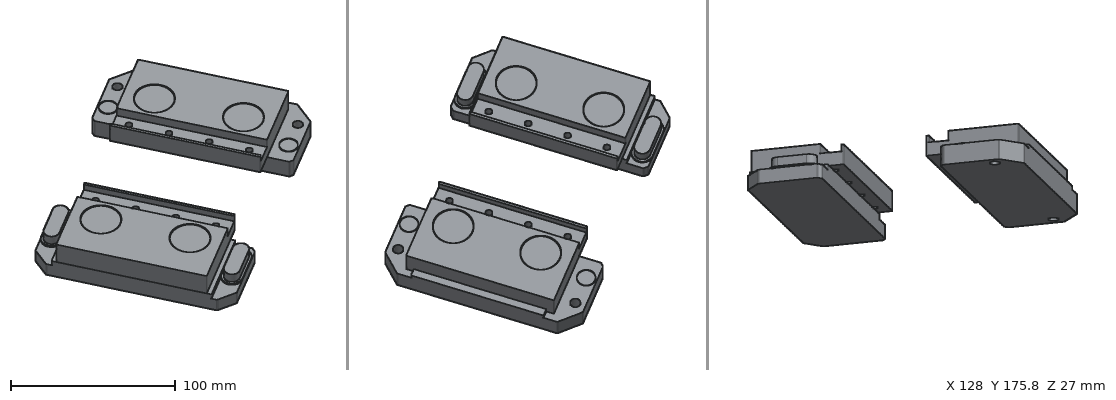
import cadquery as cq

JAW_SPAN = 175.8
FRONT_EDGE = -JAW_SPAN / 2
REAR_EDGE = JAW_SPAN / 2

BASE_LENGTH = 128.0
BASE_WIDTH = 50.0
BASE_HEIGHT = 12.5
FRONT_BASE_Y = FRONT_EDGE + BASE_WIDTH / 2
REAR_BASE_Y = REAR_EDGE - BASE_WIDTH / 2
EAR_X = 57.3
CORNER_ROUNDING = 0.9
EDGE_ROUNDING = 0.44

FRONT_OUTER_CHAMFER = 9.7
FRONT_INNER_CHAMFER = 2.5
REAR_OUTER_CHAMFER = 12.1
REAR_INNER_CHAMFER = 2.1

EAR_TOP = 9.0
EAR_LENGTH = 13.2
KEY_WIDTH = 10.0
KEY_LENGTH = 28.5
KEY_TOP = 16.4
KEY_FROM_EDGE = 30.8
PLINTH_MARGIN = 1.5
PLINTH_TOP = 10.0

RAIL_LENGTH = 85.8
RAIL_WIDTH = 5.0
RAIL_TOP = 15.0
SCREW_HOLE_DIAMETER = 6.3
SCREW_HOLE_FROM_EDGE = 16.9
DISC_DIAMETER = 11.5
DISC_RISE = 0.5
DISC_FROM_EDGE = 36.2

BLOCK_LENGTH = 95.6
BLOCK_WIDTH = 59.0
BLOCK_TOP = 27.0
FRONT_BODY_WIDTH = 44.1
REAR_BODY_WIDTH = BASE_WIDTH - RAIL_WIDTH
LEDGE_TOP = 21.0
LIP_TOP = 25.3
LIP_THICKNESS = 1.8

LEDGE_HOLE_DIAMETER = 4.2
LEDGE_HOLE_COUNT = 4
LEDGE_HOLE_PITCH = 25.5
LEDGE_HOLE_FROM_LIP_FACE = 8.5

RECESS_DIAMETER = 25.1
RECESS_DEPTH = 0.4
RECESS_TAPER_ANGLE = 45
RECESS_X = 28.3
RECESS_FROM_LEDGE = 15.0


def rounded_box(length, y_first, y_second, z_bottom, z_top):
    """Box centred on X between two Y positions, with rounded vertical edges."""
    box = (
        cq.Workplane("XY", origin=(0, (y_first + y_second) / 2, z_bottom))
        .rect(length, abs(y_second - y_first))
        .extrude(z_top - z_bottom)
    )
    return box.edges("|Z").fillet(EDGE_ROUNDING)


def base_plate(y_center, low_y_chamfer, high_y_chamfer, height):
    """Plate with chamfered corners whose vertical edges are rounded."""
    plate = (
        cq.Workplane("XY", origin=(0, y_center, 0))
        .rect(BASE_LENGTH, BASE_WIDTH)
        .extrude(height)
    )
    plate = plate.faces("<Y").edges("|Z").chamfer(low_y_chamfer)
    plate = plate.faces(">Y").edges("|Z").chamfer(high_y_chamfer)
    return plate.edges("|Z").fillet(CORNER_ROUNDING)


def oblong_boss(x, width, length, z_top):
    """Oblong boss along Y that stands on a lowered ear of the front base."""
    return (
        cq.Workplane("XY", origin=(x, FRONT_EDGE + KEY_FROM_EDGE, EAR_TOP))
        .slot2D(length, width, 90)
        .extrude(z_top - EAR_TOP)
    )


def make_front_base():
    base = base_plate(FRONT_BASE_Y, FRONT_OUTER_CHAMFER, FRONT_INNER_CHAMFER, EAR_TOP)
    middle_length = BASE_LENGTH - 2 * EAR_LENGTH
    middle = rounded_box(middle_length, FRONT_EDGE, FRONT_EDGE + BASE_WIDTH, EAR_TOP, BASE_HEIGHT)
    base = base.union(middle)

    plinth_width = KEY_WIDTH + 2 * PLINTH_MARGIN
    plinth_length = KEY_LENGTH + 2 * PLINTH_MARGIN
    for x in (-EAR_X, EAR_X):
        base = base.union(oblong_boss(x, plinth_width, plinth_length, PLINTH_TOP))
        base = base.union(oblong_boss(x, KEY_WIDTH, KEY_LENGTH, KEY_TOP))
    return base


def make_rear_base():
    base = base_plate(REAR_BASE_Y, REAR_INNER_CHAMFER, REAR_OUTER_CHAMFER, BASE_HEIGHT)
    base = base.union(rounded_box(RAIL_LENGTH, REAR_EDGE - RAIL_WIDTH, REAR_EDGE, BASE_HEIGHT, RAIL_TOP))

    ear_points = [(-EAR_X, 0), (EAR_X, 0)]
    discs = (
        cq.Workplane("XY", origin=(0, REAR_EDGE - DISC_FROM_EDGE, BASE_HEIGHT))
        .pushPoints(ear_points)
        .circle(DISC_DIAMETER / 2)
        .extrude(DISC_RISE)
    )
    screw_holes = (
        cq.Workplane("XY", origin=(0, REAR_EDGE - SCREW_HOLE_FROM_EDGE, 0))
        .pushPoints(ear_points)
        .circle(SCREW_HOLE_DIAMETER / 2)
        .extrude(BASE_HEIGHT)
    )
    return base.union(discs).cut(screw_holes)


def make_block(outer_y, inward, body_width):
    """Jaw block with its outer face at outer_y; inward is +1 or -1, the way along Y to the other jaw."""
    body_face_y = outer_y + inward * body_width
    lip_outer_y = outer_y + inward * BLOCK_WIDTH
    lip_inner_y = lip_outer_y - inward * LIP_THICKNESS

    body = rounded_box(BLOCK_LENGTH, outer_y, body_face_y, BASE_HEIGHT, BLOCK_TOP)
    foot = rounded_box(BLOCK_LENGTH, outer_y, lip_outer_y, BASE_HEIGHT, LEDGE_TOP)
    lip = rounded_box(BLOCK_LENGTH, lip_inner_y, lip_outer_y, LEDGE_TOP, LIP_TOP)
    block = foot.union(body).union(lip)

    ledge_holes = (
        cq.Workplane("XY", origin=(0, lip_outer_y - inward * LEDGE_HOLE_FROM_LIP_FACE, BASE_HEIGHT))
        .rarray(LEDGE_HOLE_PITCH, 1.8, LEDGE_HOLE_COUNT, 1)
        .circle(LEDGE_HOLE_DIAMETER / 2)
        .extrude(LEDGE_TOP - BASE_HEIGHT)
    )
    recesses = (
        cq.Workplane("XY", origin=(0, body_face_y - inward * RECESS_FROM_LEDGE, BLOCK_TOP))
        .pushPoints([(-RECESS_X, 0), (RECESS_X, 0)])
        .circle(RECESS_DIAMETER / 2)
        .extrude(-RECESS_DEPTH, taper=RECESS_TAPER_ANGLE)
    )
    return block.cut(ledge_holes).cut(recesses)


front_base = make_front_base()
front_block = make_block(FRONT_EDGE, 1, FRONT_BODY_WIDTH)
rear_base = make_rear_base()
rear_block = make_block(REAR_EDGE - RAIL_WIDTH, -1, REAR_BODY_WIDTH)

result = cq.Compound.makeCompound(
    [front_base.val(), front_block.val(), rear_base.val(), rear_block.val()]
)